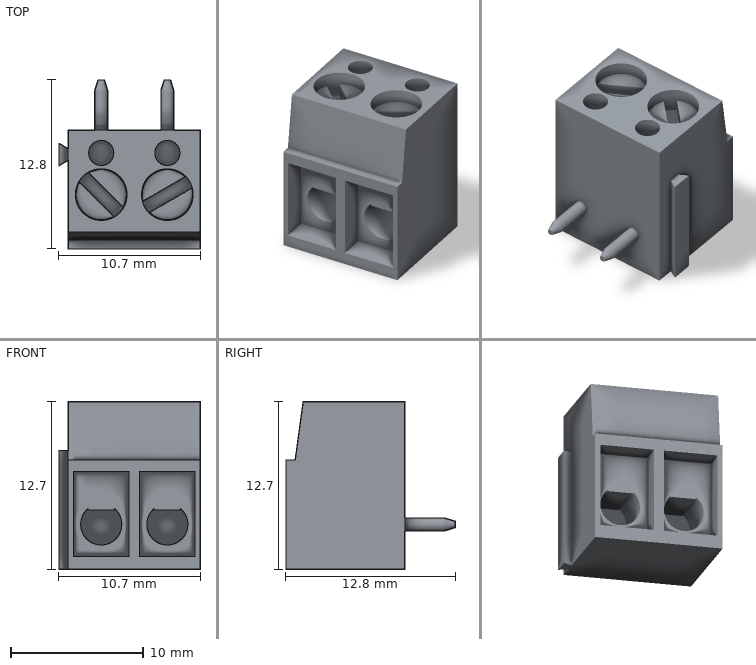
import cadquery as cq
import math


body_width = 10.0
body_depth = 9.0
body_height = 12.7
step_height = 8.3
step_depth = 0.69
top_setback = 1.29

screw_slot_angles = [-45, 30]
pitch = body_width / len(screw_slot_angles)

pocket_width = 4.2
pocket_height = 6.43
pocket_bottom = 1.0
pocket_depth = 2.0
wire_axis_z = 3.4
wire_hole_diameter = 3.11
wire_hole_depth = 4.0
clamp_width = 2.0
clamp_bottom_z = 4.49

screw_y = 4.12
screw_hole_diameter = 3.9
screw_head_diameter = 3.8
screw_recess_depth = 1.0
screw_slot_width = 1.0
screw_slot_depth = 1.0
test_hole_y = 7.27
test_hole_diameter = 1.9
test_hole_depth = 2.0

pin_diameter = 1.0
pin_tip_diameter = 0.49
pin_length = 3.8
pin_taper_length = 0.82

rib_y = 7.15
rib_width = 1.7
rib_height = 9.0
rib_projection = 0.7
rib_flank_angle = 30


def make_body():
    """Block with a small step and a leaning upper front face."""
    return (
        cq.Workplane("YZ")
        .moveTo(0, 0)
        .lineTo(body_depth, 0)
        .lineTo(body_depth, body_height)
        .lineTo(top_setback, body_height)
        .lineTo(step_depth, step_height)
        .lineTo(0, step_height)
        .close()
        .extrude(body_width)
    )


def make_rib():
    """Dovetail rib that widens away from the body."""
    half_outer = rib_width / 2
    half_root = half_outer - rib_projection * math.tan(math.radians(rib_flank_angle))
    return (
        cq.Workplane("XY")
        .moveTo(0, rib_y - half_root)
        .lineTo(-rib_projection, rib_y - half_outer)
        .lineTo(-rib_projection, rib_y + half_outer)
        .lineTo(0, rib_y + half_root)
        .close()
        .extrude(rib_height)
    )


def wire_entry_cut(x):
    """Rectangular pocket with a round wire hole, flattened on top by the clamp plate."""
    pocket = cq.Workplane("XY").box(
        pocket_width, pocket_depth, pocket_height, centered=(True, False, False)
    )
    pocket = pocket.translate((x, 0, pocket_bottom))
    hole = (
        cq.Workplane("XZ", origin=(x, pocket_depth, wire_axis_z))
        .circle(wire_hole_diameter / 2)
        .extrude(-wire_hole_depth)
    )
    clamp = cq.Workplane("XY").box(
        clamp_width, wire_hole_depth, wire_hole_diameter, centered=(True, False, False)
    )
    clamp = clamp.translate((x, pocket_depth, clamp_bottom_z))
    return pocket.union(hole.cut(clamp))


def screw_cut(x, slot_angle):
    """Round recess above a slotted screw head, with a narrow gap around the head."""
    bottom_z = body_height - screw_recess_depth - screw_slot_depth
    recess = (
        cq.Workplane("XY", origin=(x, screw_y, bottom_z))
        .circle(screw_hole_diameter / 2)
        .extrude(screw_recess_depth + screw_slot_depth)
    )
    head = (
        cq.Workplane("XY", origin=(x, screw_y, bottom_z))
        .circle(screw_head_diameter / 2)
        .extrude(screw_slot_depth)
    )
    slot = (
        cq.Workplane("XY")
        .box(screw_hole_diameter, screw_slot_width, screw_slot_depth, centered=(True, True, False))
        .rotate((0, 0, 0), (0, 0, 1), slot_angle)
        .translate((x, screw_y, bottom_z))
    )
    return recess.cut(head.cut(slot))


def test_hole_cut(x):
    """Blind round hole behind the screw."""
    return (
        cq.Workplane("XY", origin=(x, test_hole_y, body_height))
        .circle(test_hole_diameter / 2)
        .extrude(-test_hole_depth)
    )


def make_pin(x):
    """Round pin with a tapered tip, level with the wire hole."""
    pin_radius = pin_diameter / 2
    return (
        cq.Workplane("XY")
        .moveTo(0, 0)
        .lineTo(pin_radius, 0)
        .lineTo(pin_radius, pin_length - pin_taper_length)
        .lineTo(pin_tip_diameter / 2, pin_length)
        .lineTo(0, pin_length)
        .close()
        .revolve(360, (0, 0), (0, 1))
        .translate((x, body_depth, wire_axis_z))
    )


result = make_body().union(make_rib())
for pole, slot_angle in enumerate(screw_slot_angles):
    pole_x = (pole + 0.5) * pitch
    result = result.cut(wire_entry_cut(pole_x))
    result = result.cut(screw_cut(pole_x, slot_angle))
    result = result.cut(test_hole_cut(pole_x))
    result = result.union(make_pin(pole_x))